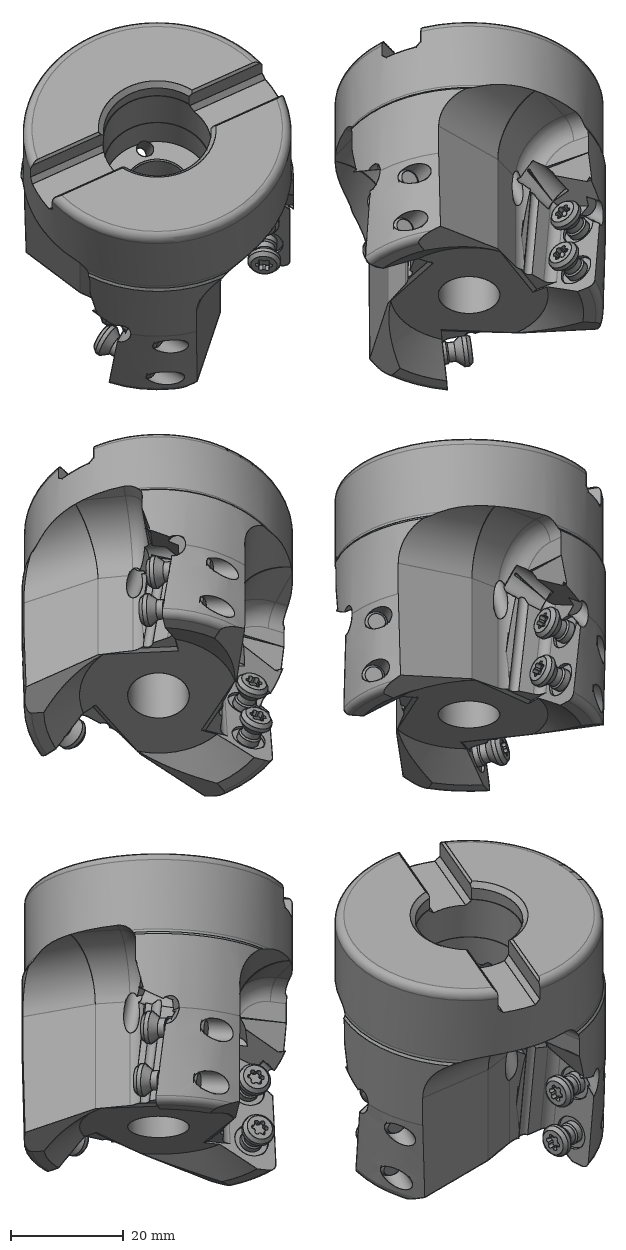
import cadquery as cq
import math

HEIGHT = 47.5
SHANK_RADIUS = 23.8
CUTTING_RADIUS = 24.22
TIP_RADIUS = 23.85
COLLAR_TOP = 32.8
COLLAR_BOTTOM = 31.8
COLLAR_STEP_RADIUS = 23.9
COLLAR_STEP = 32.25
RELIEF_START = 17.95
TOP_ROUND = 1.55
TIP_ROUND = 1.3

SLOT_WIDTH = 8.0
SLOT_DEPTH = 4.7
SLOT_CHAMFER = 0.9
SLOT_LIP = 0.45
BORE_RADIUS = 9.55
BORE_DEPTH = 17.45
BORE_CHAMFER = 0.9
BORE_RELIEF = 0.075
BORE_RELIEF_TOP = 3.4
BORE_RELIEF_BOTTOM = 11.65
BOLT_RADIUS = 5.47
BOLT_CHAMFER = 0.25

TEETH = 3
PITCH = 360 / TEETH
FLOOR_OUTER = (-16.0, -17.95)
FLOOR_KNEE = (-2.25, -14.45)
FLOOR_INNER = (3.35, -11.1)
FLUTE_TOP = 33.9
FLOOR_BLEND = 10.0
WALL_BLEND = 3.4
WALL_GAP = 3.15
REACH = 38.75

SEAT_ANGLE = 28.0
SEAT_TILT = 7.0
SEAT_OFFSET = 4.95
POCKET_FRONT = (-7.25, 11.7)
POCKET_CORNER_RADIUS = 13.45
POCKET_CORNER_ROUND = 1.85
CEILING_RADIUS = 23.0
CEILING_SEAT = 7.25
CEILING_HEIGHT = 19.15
CEILING_BACK_SLOPE = 0.6
CEILING_OUT_SLOPE = 0.45
NOSE_TOP = (1.6, 26.9)
NOSE_BOTTOM = (2.9, 21.75)
NOSE_START = 14.05
FLOOR_GROOVE_RADIUS = 1.05
FLOOR_GROOVE_TOP = 23.25
FLOOR_GROOVE_SPAN = (-5.2, 12.65)
END_GROOVE_RADIUS = 2.65
END_GROOVE_START = (-0.95, 12.95, 26.05)
END_GROOVE_OUT_SLOPE = 0.37
END_GROOVE_DROP = 0.5
END_GROOVE_LENGTH = 7.75
NOTCH_RADIUS = 1.85
NOTCH_START = 20.35
NOTCH_HEIGHT = 20.15
NOTCH_SLOPE = 1.0

DISH_RADIUS = 20.35
DISH_SLOPE = 0.65
DISH_HEIGHT = 4.1
GASH_ANGLE = -55.0
GASH_TILT = 23.3
GASH_HEIGHT = -0.45
GASH_TOP = 4.45

COOLANT_RADIUS = 1.5
COOLANT_START = (2.33, -7.85, HEIGHT - BORE_DEPTH)
COOLANT_END = (3.5, -11.1, 21.8)

SCREW_RADIUS = 2.05
SCREW_PLACES = ((18.95, 5.6), (18.6, 15.65))
SCREW_TIP = 6.3
SCREW_TIP_CHAMFER = 0.5
HEAD_RADIUS = 2.9
HEAD_TOP = 5.15
HEAD_FACE_RADIUS = 2.33
HEAD_BEVEL = 0.75
HEAD_SHOULDER = 3.65
NECK_RADIUS = 1.75
NECK_TOP = 2.2
NECK_BOTTOM = 0.95
NECK_FLARE = 0.3
SOCKET_CORE = 1.1
SOCKET_LOBE = 0.4
SOCKET_DEPTH = 1.2
SOCKET_LOBES = 6
RECESS_RADIUS = 3.1
RECESS_DEPTH = 0.6

angle = math.radians(SEAT_ANGLE)
tilt = math.radians(SEAT_TILT)
back = cq.Vector(math.cos(angle), math.sin(angle), 0)
outward = cq.Vector(math.sin(angle), -math.cos(angle), 0)
up = cq.Vector(0, 0, 1)
screw_axis = back * math.cos(tilt) - up * math.sin(tilt)
seat_up = back * math.sin(tilt) + up * math.cos(tilt)
seat_origin = back * SEAT_OFFSET
seat_plane = cq.Plane(origin=seat_origin, xDir=-outward, normal=screw_axis)


def around(shape):
    """Copies of a shape, one for each tooth."""
    return [shape.rotate((0, 0, 0), (0, 0, 1), PITCH * i) for i in range(TEETH)]


def blank():
    """Turned outside of the cutter."""
    profile = (
        cq.Workplane("XZ")
        .lineTo(TIP_RADIUS - TIP_ROUND, 0)
        .radiusArc((TIP_RADIUS, TIP_ROUND), -TIP_ROUND)
        .lineTo(CUTTING_RADIUS, RELIEF_START)
        .lineTo(CUTTING_RADIUS, COLLAR_BOTTOM)
        .lineTo(COLLAR_STEP_RADIUS, COLLAR_STEP)
        .lineTo(SHANK_RADIUS, COLLAR_TOP)
        .lineTo(SHANK_RADIUS, HEIGHT - TOP_ROUND)
        .radiusArc((SHANK_RADIUS - TOP_ROUND, HEIGHT), -TOP_ROUND)
        .lineTo(0, HEIGHT)
        .close()
    )
    return profile.revolve(360, (0, 0), (0, 1))


def bore():
    """Stepped bore with a chamfered mouth and a shallow relief in its wall."""
    floor = HEIGHT - BORE_DEPTH
    relief_radius = BORE_RADIUS + BORE_RELIEF
    profile = (
        cq.Workplane("XZ")
        .lineTo(BOLT_RADIUS, 0)
        .lineTo(BOLT_RADIUS, floor - BOLT_CHAMFER)
        .lineTo(BOLT_RADIUS + BOLT_CHAMFER, floor)
        .lineTo(BORE_RADIUS, floor)
        .lineTo(BORE_RADIUS, HEIGHT - BORE_RELIEF_BOTTOM)
        .lineTo(relief_radius, HEIGHT - BORE_RELIEF_BOTTOM)
        .lineTo(relief_radius, HEIGHT - BORE_RELIEF_TOP)
        .lineTo(BORE_RADIUS, HEIGHT - BORE_RELIEF_TOP)
        .lineTo(BORE_RADIUS, HEIGHT - BORE_CHAMFER)
        .lineTo(BORE_RADIUS + BORE_CHAMFER, HEIGHT)
        .lineTo(0, HEIGHT)
        .close()
    )
    return profile.revolve(360, (0, 0), (0, 1))


def drive_slot():
    """Slot across the top face, chamfered along its floor and its lips."""
    half = SLOT_WIDTH / 2
    floor = HEIGHT - SLOT_DEPTH
    right_side = [
        (half - SLOT_CHAMFER, floor),
        (half, floor + SLOT_CHAMFER),
        (half, HEIGHT - SLOT_LIP),
        (half + SLOT_LIP, HEIGHT),
    ]
    left_side = [(-x, z) for x, z in reversed(right_side)]
    return cq.Workplane("XZ").polyline(right_side + left_side).close().extrude(REACH, both=True)


def floor_cut(start, end, before, beyond):
    """Cut along one straight stretch of flute floor, with the ceiling blended into the floor."""
    first = cq.Vector(*start)
    along = (cq.Vector(*end) - first).normalized()
    plane = cq.Plane(origin=first - along * before, xDir=(along.y, -along.x, 0), normal=along)
    profile = (
        cq.Workplane(plane)
        .moveTo(0, REACH)
        .lineTo(0, FLOOR_BLEND - FLUTE_TOP)
        .radiusArc((FLOOR_BLEND, -FLUTE_TOP), -FLOOR_BLEND)
        .lineTo(REACH, -FLUTE_TOP)
        .lineTo(REACH, REACH)
        .close()
    )
    length = before + math.dist(start, end) + beyond
    return profile.extrude(length), along


def flute():
    """Flute with two floor stretches, ending at a rounded wall behind the second one."""
    outer_cut, _ = floor_cut(FLOOR_OUTER, FLOOR_KNEE, REACH, 0)
    inner_cut, along = floor_cut(FLOOR_KNEE, FLOOR_INNER, REACH, WALL_GAP)
    wall_face = inner_cut.faces(cq.selectors.DirectionMinMaxSelector(along, True))
    return outer_cut.union(wall_face.edges().fillet(WALL_BLEND))


def below_ceiling(solid):
    """Keep the part of a pocket that lies under its sloping ceiling."""
    corner = outward * CEILING_RADIUS + back * CEILING_SEAT + up * CEILING_HEIGHT
    normal = up + back * CEILING_BACK_SLOPE + outward * CEILING_OUT_SLOPE
    plane = cq.Plane(origin=corner, xDir=back.cross(normal), normal=normal)
    ceiling = cq.Workplane(plane).rect(2 * REACH, 2 * REACH).extrude(-2 * REACH)
    return solid.intersect(ceiling)


def pocket():
    """Tilted insert pocket, its seat at the back and its floor on the inner side."""
    plane = cq.Plane(origin=seat_origin, xDir=screw_axis, normal=seat_up)
    front, front_radius = POCKET_FRONT
    prism = (
        cq.Workplane(plane)
        .moveTo(front, -front_radius)
        .lineTo(0, -POCKET_CORNER_RADIUS)
        .lineTo(0, -REACH)
        .lineTo(front, -REACH)
        .close()
        .extrude(REACH, both=True)
    )
    corner = (seat_origin + outward * POCKET_CORNER_RADIUS).toTuple()
    prism = prism.edges(cq.selectors.NearestToPointSelector(corner)).fillet(POCKET_CORNER_ROUND)
    return below_ceiling(prism)


def nose_relief():
    """Steep facet between the flute wall and the pocket ceiling."""
    plane = cq.Plane(origin=outward * NOSE_START, xDir=back, normal=outward)
    return (
        cq.Workplane(plane)
        .moveTo(0, NOSE_TOP[1])
        .lineTo(*NOSE_TOP)
        .lineTo(*NOSE_BOTTOM)
        .lineTo(0, NOSE_BOTTOM[1])
        .close()
        .extrude(REACH)
    )


def floor_groove():
    """Round groove along the front of the pocket floor, parallel to the seat."""
    forward, radius = FLOOR_GROOVE_SPAN
    middle = seat_origin + screw_axis * forward + outward * radius
    start = middle - seat_up * REACH / 2
    length = REACH / 2 + FLOOR_GROOVE_TOP
    return cq.Workplane(cq.Solid.makeCylinder(FLOOR_GROOVE_RADIUS, length, start, seat_up))


def end_groove():
    """Round groove under the ceiling, across the upper end of the pocket floor."""
    forward, radius, height = END_GROOVE_START
    start = back * forward + outward * radius + up * height
    direction = back + outward * END_GROOVE_OUT_SLOPE - up * END_GROOVE_DROP
    return cq.Workplane(cq.Solid.makeCylinder(END_GROOVE_RADIUS, END_GROOVE_LENGTH, start, direction))


def notch():
    """Round runout where the seat meets the outer end of its ceiling."""
    start = outward * NOTCH_START + back * CEILING_SEAT + up * NOTCH_HEIGHT
    direction = outward - up * NOTCH_SLOPE
    return cq.Workplane(cq.Solid.makeCylinder(NOTCH_RADIUS, REACH, start, direction))


def dish():
    """Shallow conical hollow in the cutting end."""
    inner = DISH_RADIUS - DISH_HEIGHT / DISH_SLOPE
    return cq.Workplane(cq.Solid.makeCone(DISH_RADIUS, inner, DISH_HEIGHT))


def gash():
    """Sloping cut under the flute, up to the plane of the insert seat."""
    direction = math.radians(GASH_ANGLE)
    slope = math.tan(math.radians(GASH_TILT))
    normal = up - cq.Vector(math.cos(direction), math.sin(direction), 0) * slope
    plane = cq.Plane(origin=up * GASH_HEIGHT, xDir=up.cross(normal), normal=normal)
    under = cq.Workplane(plane).rect(4 * REACH, 4 * REACH).extrude(-REACH)
    ahead = cq.Workplane(seat_plane).rect(4 * REACH, 4 * REACH).extrude(-2 * REACH)
    top = cq.Workplane().workplane(offset=GASH_TOP)
    below_top = top.rect(4 * REACH, 4 * REACH).extrude(-REACH)
    return under.intersect(ahead).intersect(below_top)


def coolant_hole():
    """Slanted hole from the bore floor to the flute."""
    start = cq.Vector(*COOLANT_START)
    direction = (cq.Vector(*COOLANT_END) - start).normalized()
    length = 2 * math.dist(COOLANT_START, COOLANT_END)
    first = start - direction * COOLANT_RADIUS
    return cq.Workplane(cq.Solid.makeCylinder(COOLANT_RADIUS, length, first, direction))


def screw_plane(place):
    """Plane on the seat at one screw, with its normal pointing along the screw towards its tip."""
    span, height = place
    origin = seat_plane.toWorldCoords((-span, height, 0))
    return cq.Plane(origin=origin, xDir=-outward, normal=screw_axis)


def screw_hole(place):
    """Through hole for a screw, with a shallow recess in the seat."""
    plane = screw_plane(place)
    hole = cq.Workplane(plane).circle(SCREW_RADIUS).extrude(REACH)
    recess = cq.Workplane(plane).circle(RECESS_RADIUS).extrude(RECESS_DEPTH)
    return hole.union(recess)


def screw(place):
    """Insert screw: six-lobed socket head, cone and neck above the seat, shank in the tooth."""
    plane = screw_plane(place)
    side = cq.Plane(origin=plane.origin, xDir=outward, normal=outward.cross(screw_axis))
    body = (
        cq.Workplane(side)
        .moveTo(0, -HEAD_TOP)
        .lineTo(HEAD_FACE_RADIUS, -HEAD_TOP)
        .lineTo(HEAD_RADIUS, HEAD_BEVEL - HEAD_TOP)
        .lineTo(HEAD_RADIUS, -HEAD_SHOULDER)
        .lineTo(NECK_RADIUS, -NECK_TOP)
        .lineTo(NECK_RADIUS, -NECK_BOTTOM)
        .lineTo(SCREW_RADIUS, NECK_FLARE - NECK_BOTTOM)
        .lineTo(SCREW_RADIUS, SCREW_TIP - SCREW_TIP_CHAMFER)
        .lineTo(SCREW_RADIUS - SCREW_TIP_CHAMFER, SCREW_TIP)
        .lineTo(0, SCREW_TIP)
        .close()
        .revolve(360, (0, 0), (0, 1))
    )
    socket = (
        cq.Workplane(plane)
        .workplane(offset=-HEAD_TOP)
        .circle(SOCKET_CORE)
        .extrude(SOCKET_DEPTH)
    )
    lobes = (
        cq.Workplane(plane)
        .workplane(offset=-HEAD_TOP)
        .polarArray(SOCKET_CORE, 0, 360, SOCKET_LOBES)
        .circle(SOCKET_LOBE)
        .extrude(SOCKET_DEPTH)
    )
    return body.cut(socket).cut(lobes)


cutter = blank().cut(dish())
cuts = [
    flute(),
    pocket(),
    nose_relief(),
    floor_groove(),
    end_groove(),
    notch(),
    gash(),
    coolant_hole(),
    *[screw_hole(place) for place in SCREW_PLACES],
]
for cut in cuts:
    for copy in around(cut.val()):
        cutter = cutter.cut(cq.Workplane(copy))
cutter = cutter.cut(bore()).cut(drive_slot())

screws = [copy for place in SCREW_PLACES for copy in around(screw(place).val())]

result = cq.Compound.makeCompound([cutter.val(), *screws])